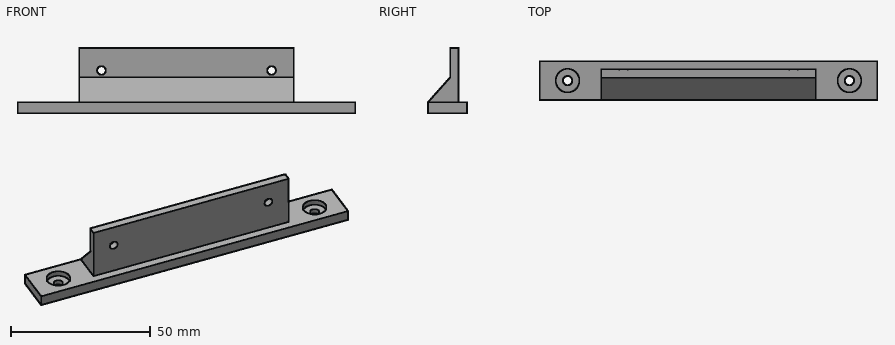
import cadquery as cq

base_length = 121.0
base_width = 14.0
base_thickness = 4.0
overall_height = 23.5

wall_length = 77.0
wall_thickness = 3.0
wall_setback = 3.0
wedge_height = 9.0

wall_hole_diameter = 3.0
wall_hole_spacing = 61.0
wall_hole_height = 15.4
screw_hole_diameter = 3.3
counterbore_diameter = 8.5
counterbore_depth = 2.0
screw_hole_spacing = 101.0

front_y = -base_width / 2
wall_back_y = base_width / 2 - wall_setback
wall_front_y = wall_back_y - wall_thickness
wedge_top = base_thickness + wedge_height

base = (
    cq.Workplane("XY")
    .box(base_length, base_width, base_thickness, centered=(True, True, False))
    .faces(">Z")
    .workplane()
    .rarray(screw_hole_spacing, 1.2, 2, 1)
    .cboreHole(screw_hole_diameter, counterbore_diameter, counterbore_depth)
)

wall = (
    cq.Workplane("YZ")
    .moveTo(front_y, base_thickness)
    .lineTo(wall_back_y, base_thickness)
    .lineTo(wall_back_y, overall_height)
    .lineTo(wall_front_y, overall_height)
    .lineTo(wall_front_y, wedge_top)
    .close()
    .extrude(wall_length / 2, both=True)
)

wall_holes = (
    cq.Workplane("XZ")
    .center(0, wall_hole_height)
    .rarray(wall_hole_spacing, 1.2, 2, 1)
    .circle(wall_hole_diameter / 2)
    .extrude(base_width / 2, both=True)
)

result = base.union(wall).cut(wall_holes)